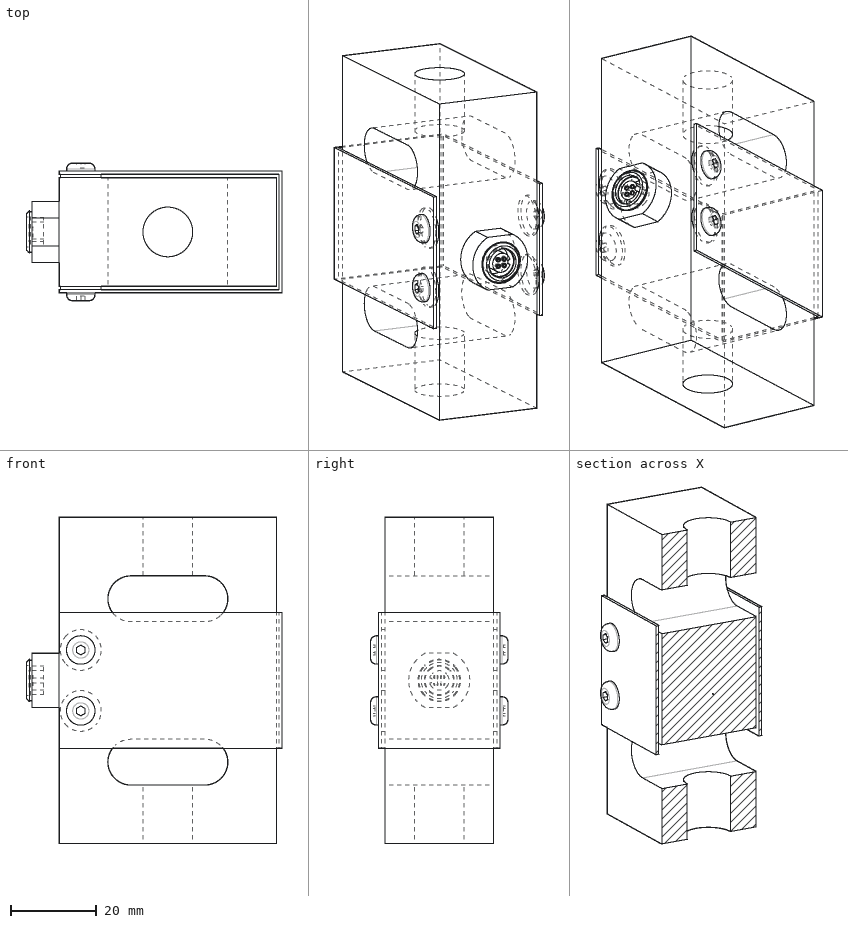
import cadquery as cq
import math


BLOCK_X = 50.8
BLOCK_Y = 25.4
BLOCK_Z = 76.2
END_X = -BLOCK_X / 2

SLOT_LENGTH = 27.94
SLOT_WIDTH = 10.67
SLOT_CENTER_Z = 19.05

MOUNT_HOLE_DIA = 11.61

SHEET = 0.762
COVER_HEIGHT = 31.75
SIDE_GAP = 0.762
BACK_GAP = 0.508

SCREW_INSET = 5.08
SCREW_PITCH_Z = 14.22
WASHER_DIA = 9.53
HEAD_DIA = 6.66
HEAD_TOP_DIA = 3.79
HEAD_HEIGHT = 1.854
HEX_ACROSS_FLATS = 1.98
HEX_DEPTH = 1.1
HEX_HALF_ANGLE = 30

BODY_DIA = 14.29
BODY_FLATS = 12.7
BODY_LENGTH = 6.35

NOSE_LENGTH = 1.27
NOSE_DIA = 9.91
NOSE_TIP_DIA = 8.4
NOSE_CONE_LENGTH = 0.7
NECK_DIA = 9.53
NECK_LENGTH = 0.5
BORE_MOUTH_DIA = 6.99
BORE_DEPTH = 4.0
BORE_MOUTH_DEPTH = 1.0
BORE_INNER_DIA = 6.66

INSERT_DIA = 4.57
INSERT_HEIGHT = 3.4
KEY_DIA = 1.27
CONTACT_COUNT = 4
CONTACT_CIRCLE_DIA = 2.2
CONTACT_MOUTH_DIA = 1.02
CONTACT_MOUTH_DEPTH = 0.25
CONTACT_DIA = 0.71
CONTACT_DEPTH = 1.0

NOSE_TIP_X = END_X - BODY_LENGTH - NOSE_LENGTH
BORE_FLOOR_X = NOSE_TIP_X + BORE_DEPTH
INSERT_FACE_X = BORE_FLOOR_X - INSERT_HEIGHT


def x_cylinder(dia, x_start, length, y=0, z=0):
    """Cylinder along +X that starts at x_start."""
    return cq.Workplane("YZ", origin=(x_start, y, z)).circle(dia / 2).extrude(length)


def make_block():
    block = cq.Workplane("XY").box(BLOCK_X, BLOCK_Y, BLOCK_Z)
    slots = (
        cq.Workplane("XZ")
        .pushPoints([(0, SLOT_CENTER_Z), (0, -SLOT_CENTER_Z)])
        .slot2D(SLOT_LENGTH, SLOT_WIDTH)
        .extrude(BLOCK_Y / 2, both=True)
    )
    hole_depth = BLOCK_Z / 2 - SLOT_CENTER_Z
    for face in (">Z", "<Z"):
        block = block.faces(face).workplane(origin=(0, 0, 0)).hole(MOUNT_HOLE_DIA, hole_depth)
    return block.cut(slots)


def make_cover():
    inner_x = BLOCK_X + BACK_GAP
    inner_y = BLOCK_Y + 2 * SIDE_GAP
    from_open_end = (False, True, True)
    outer = cq.Workplane("XY").box(
        inner_x + SHEET, inner_y + 2 * SHEET, COVER_HEIGHT, centered=from_open_end
    )
    inner = cq.Workplane("XY").box(inner_x, inner_y, COVER_HEIGHT, centered=from_open_end)
    return outer.cut(inner).translate((END_X, 0, 0))


def make_screw():
    """Washer and button head along +Z, with the washer resting on z = 0."""
    head_base = SIDE_GAP + SHEET
    head_top = head_base + HEAD_HEIGHT
    dome_radius = (HEAD_DIA - HEAD_TOP_DIA) / 2
    dome_mid = dome_radius * math.sin(math.radians(45))
    washer = cq.Workplane("XY").circle(WASHER_DIA / 2).extrude(SIDE_GAP)
    head = (
        cq.Workplane("XZ")
        .moveTo(0, SIDE_GAP)
        .lineTo(HEAD_DIA / 2, SIDE_GAP)
        .lineTo(HEAD_DIA / 2, head_top - dome_radius)
        .threePointArc(
            (HEAD_TOP_DIA / 2 + dome_mid, head_top - dome_radius + dome_mid),
            (HEAD_TOP_DIA / 2, head_top),
        )
        .lineTo(0, head_top)
        .close()
        .revolve(360, (0, 0, 0), (0, 1, 0))
    )
    hex_across_corners = HEX_ACROSS_FLATS / math.cos(math.radians(HEX_HALF_ANGLE))
    socket = (
        cq.Workplane("XY", origin=(0, 0, head_top))
        .polygon(6, hex_across_corners)
        .extrude(-HEX_DEPTH)
        .rotate((0, 0, 0), (0, 0, 1), HEX_HALF_ANGLE)
    )
    return washer.union(head).cut(socket)


def place_screws():
    screws = cq.Workplane("XY")
    for side in (-1, 1):
        turned = make_screw().rotate((0, 0, 0), (1, 0, 0), -90 * side)
        for level in (-1, 1):
            place = (END_X + SCREW_INSET, side * BLOCK_Y / 2, level * SCREW_PITCH_Z / 2)
            screws = screws.union(turned.translate(place))
    return screws


def make_connector_body():
    body = x_cylinder(BODY_DIA, END_X - BODY_LENGTH, BODY_LENGTH)
    between_flats = cq.Workplane("XY").box(BLOCK_X + 2 * BODY_LENGTH, BODY_DIA, BODY_FLATS)
    return body.intersect(between_flats)


def make_nose():
    """Nose revolved about X: cone from the tip, full diameter, then the neck."""
    base_x = NOSE_TIP_X + NOSE_LENGTH
    return (
        cq.Workplane("XY")
        .moveTo(NOSE_TIP_X, 0)
        .lineTo(NOSE_TIP_X, NOSE_TIP_DIA / 2)
        .lineTo(NOSE_TIP_X + NOSE_CONE_LENGTH, NOSE_DIA / 2)
        .lineTo(base_x - NECK_LENGTH, NOSE_DIA / 2)
        .lineTo(base_x - NECK_LENGTH, NECK_DIA / 2)
        .lineTo(base_x, NECK_DIA / 2)
        .lineTo(base_x, 0)
        .close()
        .revolve(360, (0, 0, 0), (1, 0, 0))
    )


def make_insert():
    """Raised contact insert with a round key notch on its -Y side."""
    insert = x_cylinder(INSERT_DIA, INSERT_FACE_X, INSERT_HEIGHT)
    return insert.cut(x_cylinder(KEY_DIA, INSERT_FACE_X, INSERT_HEIGHT, y=-INSERT_DIA / 2))


def make_contact_sockets():
    """Stepped sockets on a circle, each with a wider mouth at the insert face."""
    sockets = cq.Workplane("XY")
    for index in range(CONTACT_COUNT):
        angle = 2 * math.pi * (index + 0.5) / CONTACT_COUNT
        y = CONTACT_CIRCLE_DIA / 2 * math.cos(angle)
        z = CONTACT_CIRCLE_DIA / 2 * math.sin(angle)
        mouth = x_cylinder(CONTACT_MOUTH_DIA, INSERT_FACE_X, CONTACT_MOUTH_DEPTH, y, z)
        sockets = sockets.union(mouth)
        sockets = sockets.union(x_cylinder(CONTACT_DIA, INSERT_FACE_X, CONTACT_DEPTH, y, z))
    return sockets


def make_connector():
    bore_mouth = x_cylinder(BORE_MOUTH_DIA, NOSE_TIP_X, BORE_MOUTH_DEPTH)
    bore = x_cylinder(BORE_INNER_DIA, NOSE_TIP_X, BORE_DEPTH).union(bore_mouth)
    shell = make_connector_body().union(make_nose()).cut(bore)
    return shell.union(make_insert()).cut(make_contact_sockets())


result = make_block().union(make_cover()).union(place_screws()).union(make_connector())